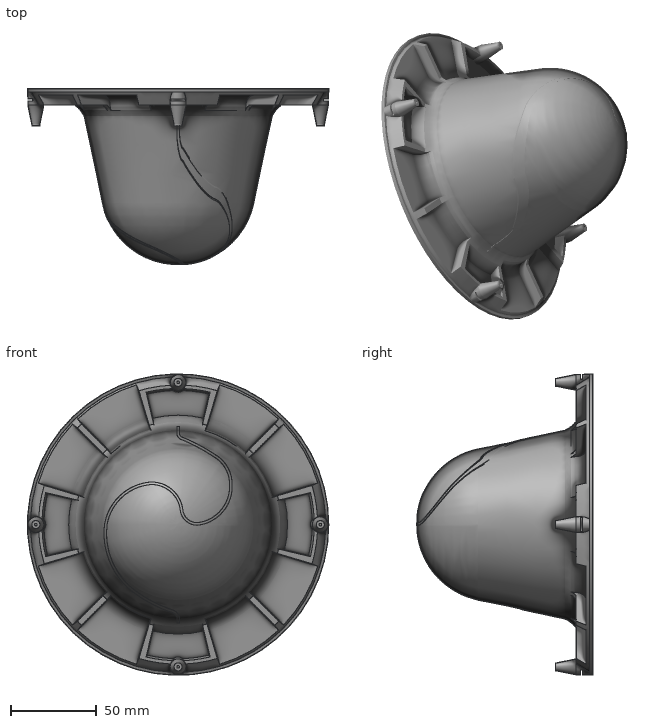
import cadquery as cq
import math


flange_radius = 88.0
flange_thickness = 2.02
plate_base_radius = 86.2
plate_top_radius = 81.5
plate_thickness = 9.7

flare_radius = 60.4
flare_middle_radius = 57.0
flare_middle_depth = 12.7
cone_base_radius = 55.0
cone_base_depth = 16.2
cap_base_radius = 44.2
cap_base_depth = 66.9
part_depth = 102.8
cone_angle = math.atan2(cone_base_radius - cap_base_radius, cap_base_depth - cone_base_depth)
cap_radius = cap_base_radius / math.cos(cone_angle)
cap_center_depth = part_depth - cap_radius

floor_depth = 3.9
pocket_outer_radius = 91.5
pocket_inner_radius = 57.7
pocket_fillet = 6.7
pocket_top_radius = 56.0
pocket_half_angle = 28.4
window_half_angle = 13.3
window_floor_outer = 78.3
window_mouth_outer = 79.7
window_floor_inner = 63.9
window_mouth_inner = 59.3
window_mouth_depth = 10.7
side_draft = 4.0
cut_top_depth = 15.8

rib_base_width = 4.2
rib_inner_radius = 52.8
rib_top_depth = 17.6

pin_offset = 83.0
pin_radius = 4.66
pin_tip_radius = 2.38
pin_taper_end = 21.0
pin_depth = 21.8
pin_foot_offset = 82.4
pin_foot_half_length = 5.5
pin_hole_diameter = 1.5
pin_hole_depth = 1.8
notch_depth = 6.6
notch_height = 1.0
notch_floor_offset = 85.0

bead_width = 1.5
bead_height = 0.2
bead_start_depth = 8.8
bead_end_height = 57.4
bead_straight = 3.5
bead_arcs = [
    ((0.7, 51.4), (2.8, 50.2)),
    ((12.0, 45.8), (21.1, 40.3)),
    ((28.5, 32.7), (30.8, 22.2)),
    ((25.7, 8.1), (11.0, 0.4)),
    ((5.1, 2.6), (2.0, 9.2)),
    ((-4.2, 20.0), (-16.2, 24.1)),
    ((-33.3, 16.5), (-42.2, 0)),
    ((-40.1, -19.2), (-29.0, -36.3)),
    ((-17.5, -44.4), (-4.2, -50.3)),
    ((-1.0, -52.1), (0, bead_straight - bead_end_height)),
]

sides = [0, 90, 180, 270]
diagonals = [45, 135, 225, 315]


def revolve(outline):
    """Spin a closed outline, drawn as (radius, -depth), around the Y axis."""
    return outline.close().revolve(360, (0, 0, 0), (0, 1, 0))


def face_plane(depth):
    """Sketch plane at a depth: local x is X, local y is Z, extrusion runs towards -Y."""
    return cq.Workplane("XZ", origin=(0, -depth, 0))


def turned(solid, angle):
    return solid.rotate((0, 0, 0), (0, 1, 0), angle)


def make_plate():
    return revolve(
        cq.Workplane("XY")
        .moveTo(0, 0)
        .lineTo(flange_radius, 0)
        .lineTo(flange_radius, -flange_thickness)
        .lineTo(plate_base_radius, -flange_thickness)
        .lineTo(plate_top_radius, -plate_thickness)
        .lineTo(0, -plate_thickness)
    )


def make_dome(skin=0.0):
    """Dome with its outer surface moved outwards by skin."""
    out = skin * math.cos(cone_angle)
    forward = skin * math.sin(cone_angle)
    radius = cap_radius + skin
    middle_angle = (cone_angle + math.pi / 2) / 2
    cap_middle = (radius * math.cos(middle_angle), -cap_center_depth - radius * math.sin(middle_angle))
    return revolve(
        cq.Workplane("XY")
        .moveTo(0, -flange_thickness)
        .lineTo(0, -part_depth - skin)
        .threePointArc(cap_middle, (cap_base_radius + out, -cap_base_depth - forward))
        .lineTo(cone_base_radius + out, -cone_base_depth - forward)
        .threePointArc(
            (flare_middle_radius + out, -flare_middle_depth - forward),
            (flare_radius + out, -plate_thickness - forward),
        )
        .lineTo(flare_radius + out, -flange_thickness)
    )


def make_wedge(half_angle):
    """Sector around +X whose sides lean outwards from the floor to the mouth."""
    reach = 2 * flange_radius
    spread = reach * math.tan(math.radians(half_angle))
    return (
        face_plane(floor_depth)
        .polyline([(0, 0), (reach, -spread), (reach, spread)])
        .close()
        .extrude(cut_top_depth - floor_depth, taper=-side_draft)
    )


def make_rib():
    """Bar along +X that narrows towards its top."""
    length = flange_radius
    return (
        face_plane(floor_depth)
        .center(rib_inner_radius + length / 2, 0)
        .rect(length, rib_base_width)
        .extrude(rib_top_depth - floor_depth, taper=side_draft)
    )


def make_pocket():
    """Cutter for a pair of pockets with a rib left standing between them."""
    arc_center = (pocket_inner_radius + pocket_fillet, -floor_depth - pocket_fillet)
    arc_reach = pocket_fillet * math.sqrt(0.5)
    ring = revolve(
        cq.Workplane("XY")
        .moveTo(pocket_outer_radius, -floor_depth)
        .lineTo(arc_center[0], -floor_depth)
        .threePointArc(
            (arc_center[0] - arc_reach, arc_center[1] + arc_reach),
            (pocket_inner_radius, arc_center[1]),
        )
        .lineTo(pocket_top_radius, -cut_top_depth)
        .lineTo(pocket_outer_radius, -cut_top_depth)
    )
    return turned(ring, 180).intersect(make_wedge(pocket_half_angle)).cut(make_rib())


def make_window():
    """Cutter for one closed window with sloping end walls."""
    ring = revolve(
        cq.Workplane("XY")
        .moveTo(window_floor_inner, -floor_depth)
        .lineTo(window_floor_outer, -floor_depth)
        .lineTo(window_mouth_outer, -window_mouth_depth)
        .lineTo(window_mouth_outer, -cut_top_depth)
        .lineTo(window_mouth_inner, -cut_top_depth)
        .lineTo(window_mouth_inner, -window_mouth_depth)
    )
    return turned(ring, 180).intersect(make_wedge(window_half_angle))


def make_pin():
    """Pin with an oval foot, a tapered shank and a short straight tip."""
    foot = (
        face_plane(flange_thickness)
        .center(pin_foot_offset, 0)
        .ellipse(pin_foot_half_length, pin_radius)
        .workplane(offset=plate_thickness - flange_thickness)
        .center(pin_offset - pin_foot_offset, 0)
        .ellipse(pin_radius, pin_radius * 0.999)
        .loft()
    )
    cone = (
        face_plane(plate_thickness)
        .center(pin_offset, 0)
        .circle(pin_radius)
        .workplane(offset=pin_taper_end - plate_thickness)
        .circle(pin_tip_radius)
        .loft()
    )
    tip = (
        face_plane(pin_taper_end)
        .center(pin_offset, 0)
        .circle(pin_tip_radius)
        .extrude(pin_depth - pin_taper_end)
    )
    return foot.union(cone).union(tip)


def make_pin_cuts():
    """Hole in the pin tip and the notch in the outer side of the pin."""
    hole = (
        face_plane(pin_depth - pin_hole_depth)
        .center(pin_offset, 0)
        .circle(pin_hole_diameter / 2)
        .extrude(pin_hole_depth)
    )
    notch = cq.Workplane("XY").box(pin_radius * 2, notch_height, pin_radius * 2)
    notch = notch.translate((notch_floor_offset + pin_radius, -notch_depth, 0))
    return hole.union(notch)


def make_bead():
    """Band swept along the S-curve, trimmed to a thin skin over the dome."""
    path = face_plane(bead_start_depth).moveTo(0, bead_end_height)
    path = path.lineTo(0, bead_end_height - bead_straight)
    for along, end in bead_arcs:
        path = path.threePointArc(along, end)
    path = path.lineTo(0, -bead_end_height)
    band = (
        cq.Workplane("XY", origin=(0, -bead_start_depth - part_depth / 2, bead_end_height))
        .rect(bead_width, part_depth)
        .sweep(path)
    )
    return band.intersect(make_dome(bead_height))


body = make_plate().union(make_dome())

pocket = make_pocket()
for angle in diagonals:
    body = body.cut(turned(pocket, angle))

window = make_window()
pin = make_pin()
pin_cuts = make_pin_cuts()
for angle in sides:
    body = body.cut(turned(window, angle)).union(turned(pin, angle)).cut(turned(pin_cuts, angle))

result = body.union(make_bead())